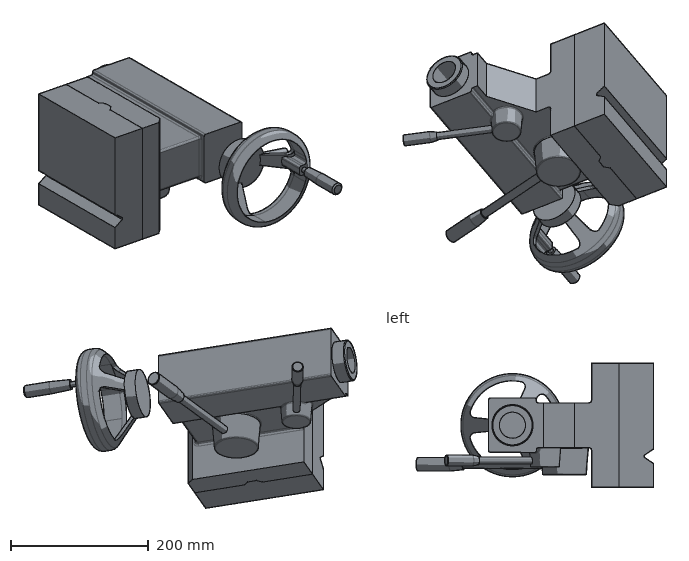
import cadquery as cq
import math


foot_size = 180.0
foot_left = 110.0
foot_right = foot_left + foot_size
foot_middle = foot_left + foot_size / 2
base_height = 50.5
foot_top = 90.0
foot_corner_chamfer = 9.5
key_top_width = 13.5
key_height = 7.0
key_foot_width = key_top_width + 2 * key_height
groove_top = -34.5
groove_width = 21.0
groove_depth = 13.5
groove_floor = 3.0

barrel_left = 19.0
barrel_length = 263.5
barrel_back = 239.5
barrel_depth = 69.5
barrel_width = 79.0
barrel_front = barrel_back - barrel_depth
axis_y = barrel_back - barrel_depth / 2
web_width = 65.0
web_right = 274.0
nose_y = 160.0
nose_right = 45.0
web_corner_y = 114.5
edge_radius = 3.0
foot_radius = 4.5

quill_diameter = 60.0
quill_bore = 38.0
quill_length = 76.5
quill_chamfer = 1.5

web_underside = -web_width / 2
hub_draft = 4.5
hub_root_radius = 1.5
hub_rim_radius = 1.5
lever_end_chamfer = 1.0

clamp_x = foot_middle
clamp_y = 129.5
clamp_hub_diameter = 70.0
clamp_hub_bottom = -72.0
clamp_lever_z = -56.5
clamp_angle = -14.6
clamp_lever_shape = [(0, 12.0), (151.5, 12.0), (151.5, 16.5), (170.5, 20.0), (220.5, 20.0)]

lock_x = 99.0
lock_y = 157.5
lock_hub_diameter = 46.0
lock_hub_bottom = -61.0
lock_lever_z = -51.3
lock_angle = 19.2
lock_lever_shape = [(0, 10.5), (102.5, 10.5), (102.5, 12.5), (112.0, 16.5), (152.0, 16.5)]

wheel_left = 318.0
wheel_right = 398.5
wheel_diameter = 150.0
wheel_hub_diameter = 70.0
wheel_hub_length = 17.0
wheel_cone_left = wheel_left + wheel_hub_length
rim_radius = 10.0
rim_inner_diameter = 128.5
spoke_thickness = 7.0
spoke_count = 3
spoke_hub_half_width = 9.0
spoke_flare = 0.1
window_corner_radius = 7.0

handle_offset = 58.0
handle_boss_width = 16.0
handle_boss_inner_radius = 50.0
handle_boss_edge_radius = 4.0
handle_boss_root_radius = 5.0
handle_stem_diameter = 8.0
handle_left = 408.5
handle_small_diameter = 15.0
handle_taper_end = 439.0
handle_diameter = 18.0
handle_right = 479.0
handle_end_chamfer = 2.5

margin = 0.5


def key_profile():
    """Trapezoidal key that locates the housing on the base, in the XY plane."""
    return [
        (foot_middle - key_foot_width / 2, base_height),
        (foot_middle - key_top_width / 2, base_height + key_height),
        (foot_middle + key_top_width / 2, base_height + key_height),
        (foot_middle + key_foot_width / 2, base_height),
    ]


def plate(points, width):
    """XY outline extruded symmetrically about Z = 0."""
    return cq.Workplane("XY").polyline(points).close().extrude(width / 2, both=True)


def make_base():
    outline = [
        (foot_left, 0),
        (foot_left, base_height),
        *key_profile(),
        (foot_right, base_height),
        (foot_right, 0),
    ]
    groove_middle = groove_top - groove_width / 2
    groove = (
        cq.Workplane("YZ")
        .workplane(offset=foot_left)
        .polyline([
            (0, groove_top),
            (groove_depth, groove_middle + groove_floor / 2),
            (groove_depth, groove_middle - groove_floor / 2),
            (0, groove_top - groove_width),
        ])
        .close()
        .extrude(foot_size)
    )
    return plate(outline, foot_size).cut(groove)


def casting():
    """Foot, web and barrel with rounded edges."""
    web = plate(
        [
            (barrel_left, barrel_front),
            (barrel_left, nose_y),
            (nose_right, nose_y),
            (foot_left, web_corner_y),
            (foot_left, foot_top),
            (web_right, foot_top),
            (web_right, barrel_front),
        ],
        web_width,
    )
    web = web.edges("|Y and >X").fillet(edge_radius)

    barrel = (
        cq.Workplane("XY")
        .box(barrel_length, barrel_depth, barrel_width, centered=(False, False, True))
        .translate((barrel_left, barrel_front, 0))
        .edges("|X")
        .fillet(edge_radius)
    )
    foot = plate(
        [
            (foot_left, base_height),
            *key_profile(),
            (foot_right, base_height),
            (foot_right, foot_top - foot_corner_chamfer),
            (foot_right - foot_corner_chamfer, foot_top),
            (foot_left, foot_top),
        ],
        foot_size,
    )
    body = web.union(barrel).union(foot)

    for joint_y, radius in ((barrel_front, edge_radius), (foot_top, foot_radius)):
        joint = cq.selectors.BoxSelector(
            (0, joint_y - margin, -web_width / 2 - margin),
            (web_right + margin, joint_y + margin, web_width / 2 + margin),
        )
        body = body.edges(joint).fillet(radius)
    return body


def lever(x, y, z, angle, shape):
    """Round lever pointing away from a hub axis, turned about Z from +Y."""
    profile = [(0, 0), *[(diameter / 2, distance) for distance, diameter in shape], (0, shape[-1][0])]
    return (
        cq.Workplane("XY")
        .polyline(profile)
        .close()
        .revolve(360, (0, 0, 0), (0, 1, 0))
        .faces(">Y")
        .chamfer(lever_end_chamfer)
        .rotate((0, 0, 0), (0, 0, 1), angle)
        .translate((x, y, z))
    )


def lever_hub(x, y, diameter, bottom):
    """Drafted round hub hanging from the underside of the web."""
    return (
        cq.Workplane("XY", origin=(x, y, web_underside))
        .circle(diameter / 2)
        .extrude(bottom - web_underside, taper=hub_draft)
        .faces("<Z")
        .edges()
        .fillet(hub_rim_radius)
    )


def add_hub(body, x, y, diameter, bottom):
    """Join a lever hub to the casting and round the root between them."""
    joined = body.union(lever_hub(x, y, diameter, bottom))
    barrel_underside = -barrel_width / 2
    root_region = cq.selectors.BoxSelector(
        (x - diameter / 2, y - diameter / 2, barrel_underside - margin),
        (x + diameter / 2, y + diameter / 2, web_underside + margin),
    )
    root_edges = joined.faces("%CONE").edges(root_region).vals()
    return joined.newObject(root_edges).fillet(hub_root_radius)


def make_housing():
    housing = casting()
    housing = add_hub(housing, clamp_x, clamp_y, clamp_hub_diameter, clamp_hub_bottom)
    housing = add_hub(housing, lock_x, lock_y, lock_hub_diameter, lock_hub_bottom)
    housing = housing.union(lever(clamp_x, clamp_y, clamp_lever_z, clamp_angle, clamp_lever_shape))
    housing = housing.union(lever(lock_x, lock_y, lock_lever_z, lock_angle, lock_lever_shape))
    quill_seat = cq.Workplane("YZ", origin=(0, axis_y, 0)).circle(quill_diameter / 2).extrude(quill_length)
    return housing.cut(quill_seat)


def make_quill():
    quill = cq.Workplane("YZ", origin=(0, axis_y, 0)).circle(quill_diameter / 2).extrude(quill_length)
    quill = quill.faces("<X").edges().chamfer(quill_chamfer)
    bore = cq.Workplane("YZ", origin=(0, axis_y, 0)).circle(quill_bore / 2).extrude(quill_length)
    return quill.cut(bore)


def wheel_revolve(profile):
    """Solid turned about the wheel axis from an (X, radius) profile; its seam lies on the -Y side."""
    turned = cq.Workplane("XY").polyline(profile).close().revolve(360, (0, 0, 0), (1, 0, 0))
    return turned.rotate((0, 0, 0), (1, 0, 0), 180)


def wheel_dish():
    """Outer shape of spokes and rim: a cone running into a rounded rim."""
    hub_r = wheel_hub_diameter / 2
    outer_r = wheel_diameter / 2
    cone_end = wheel_cone_left + outer_r - hub_r
    dish = wheel_revolve([
        (wheel_cone_left, 0),
        (wheel_cone_left, hub_r),
        (cone_end, outer_r),
        (wheel_right, outer_r),
        (wheel_right, 0),
    ])
    rim_edges = cq.selectors.RadiusNthSelector(-1)
    return dish.edges("%CIRCLE").edges(rim_edges).fillet(rim_radius)


def wheel_hollow():
    """Space inside the dish, open towards +X."""
    inner_r = rim_inner_diameter / 2
    start_r = wheel_hub_diameter / 2 - spoke_thickness
    return wheel_revolve([
        (wheel_cone_left, 0),
        (wheel_cone_left, start_r),
        (wheel_cone_left + inner_r - start_r, inner_r),
        (wheel_right, inner_r),
        (wheel_right, 0),
    ])


def wheel_window():
    """Opening between two spokes, centred on the -Y direction."""
    rim_r = rim_inner_diameter / 2
    half_pitch = math.pi / spoke_count
    flare_angle = math.atan(spoke_flare)
    axis_half_width = spoke_hub_half_width - spoke_flare * wheel_hub_diameter / 2
    tip = axis_half_width / (math.sin(half_pitch) - spoke_flare * math.cos(half_pitch))
    corner = half_pitch - flare_angle - math.asin(axis_half_width * math.cos(flare_angle) / rim_r)
    corner_y = -rim_r * math.cos(corner)
    corner_z = rim_r * math.sin(corner)
    return (
        cq.Workplane("YZ")
        .workplane(offset=wheel_cone_left)
        .moveTo(-tip, 0)
        .lineTo(corner_y, corner_z)
        .threePointArc((-rim_r, 0), (corner_y, -corner_z))
        .close()
        .extrude(wheel_right - wheel_cone_left)
        .edges("|X")
        .edges("<Z or >Z")
        .fillet(window_corner_radius)
    )


def handle_boss(hollow):
    """Rounded boss on the inside of the rim, filling the hollow behind the +Y spoke."""
    rim_r = rim_inner_diameter / 2
    overlap_r = wheel_diameter / 2
    length = wheel_right - wheel_cone_left
    block = (
        cq.Workplane("YZ")
        .workplane(offset=wheel_cone_left)
        .moveTo((handle_boss_inner_radius + rim_r) / 2, 0)
        .rect(rim_r - handle_boss_inner_radius, handle_boss_width)
        .extrude(length)
        .edges("|X and <Y")
        .fillet(handle_boss_edge_radius)
    )
    ring = cq.Workplane("YZ").workplane(offset=wheel_cone_left).circle(overlap_r).circle(rim_r).extrude(length)
    root_y = math.sqrt(rim_r**2 - (handle_boss_width / 2) ** 2)
    root_region = cq.selectors.BoxSelector(
        (wheel_cone_left, root_y - margin, -handle_boss_width / 2 - margin),
        (wheel_right, root_y + margin, handle_boss_width / 2 + margin),
    )
    boss = block.union(ring).edges("|X").edges(root_region).fillet(handle_boss_root_radius)
    return boss.intersect(hollow)


def crank_handle():
    """Stem and tapered grip on an axis parallel to the wheel axis."""
    stem_r = handle_stem_diameter / 2
    grip_r = handle_diameter / 2
    handle = (
        cq.Workplane("XY")
        .polyline([
            (wheel_right, 0),
            (wheel_right, stem_r),
            (handle_left, stem_r),
            (handle_left, handle_small_diameter / 2),
            (handle_taper_end, grip_r),
            (handle_right - handle_end_chamfer, grip_r),
            (handle_right, grip_r - handle_end_chamfer),
            (handle_right, 0),
        ])
        .close()
        .revolve(360, (0, 0, 0), (1, 0, 0))
    )
    return handle.translate((0, handle_offset, 0))


def make_handwheel():
    hollow = wheel_hollow()
    wheel = wheel_dish().cut(hollow)
    window = wheel_window()
    for index in range(spoke_count):
        wheel = wheel.cut(window.rotate((0, 0, 0), (1, 0, 0), index * 360 / spoke_count))
    hub = cq.Workplane("YZ").workplane(offset=wheel_left).circle(wheel_hub_diameter / 2).extrude(wheel_hub_length)
    wheel = wheel.union(hub).union(handle_boss(hollow)).union(crank_handle())
    return wheel.translate((0, axis_y, 0))


base = make_base()
housing = make_housing()
quill = make_quill()
handwheel = make_handwheel()

result = cq.Compound.makeCompound([base.val(), housing.val(), quill.val(), handwheel.val()])